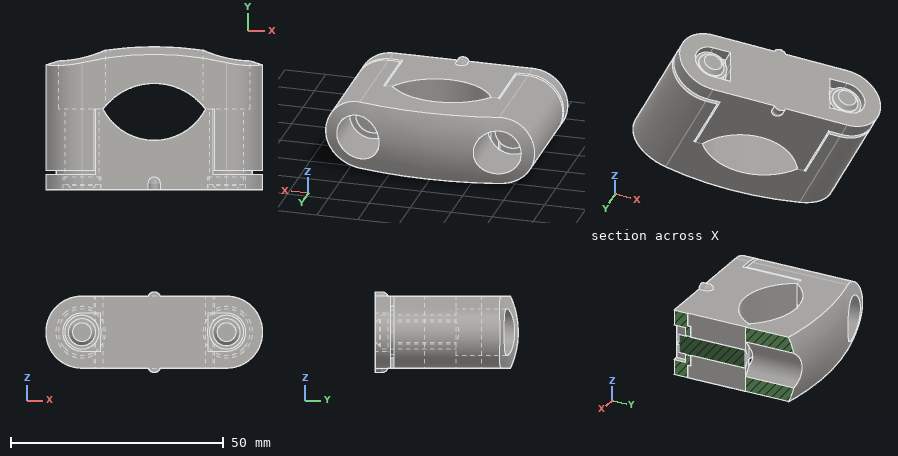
import cadquery as cq
import math


length = 51.0
width = 17.0
height = 33.7
end_radius = width / 2
bolt_offset = length / 2 - end_radius

flange_thickness = 3.65
skirt_bottom = 4.5
parting_level = 19.0

crown_radius_long = 77.0
crown_radius_cross = 20.5

bore_half_width = 12.05
bore_top = 25.0
bore_bottom = 11.65

saddle_half_width = 13.8
skirt_clearance = 0.35

collar_radius = 6.1
access_hole_radius = 5.5

pocket_radius = 4.5
pocket_depth = 3.0
pocket_wall_offset = 4.4

bolt_radius = 4.0
tip_radius = 3.2
tip_length = 1.3
tip_chamfer = 1.0

rib_radius = 1.5
rib_center_z = 8.0
rib_straight = 1.6


def plan(level):
    """Workplane normal to +Y at the given height, with local x = X and local y = -Z."""
    return cq.Workplane("XZ", origin=(0, level, 0)).transformed(rotate=(180, 0, 0))


def stadium(bottom, top):
    """Round-ended prism of the clamp outline."""
    return plan(bottom).slot2D(length, width).extrude(top - bottom)


def side_block(x_min, x_max, bottom, top):
    """Rectangular block through the whole width of the clamp."""
    size = (x_max - x_min, top - bottom, width)
    return cq.Workplane("XY").box(*size).translate(((x_min + x_max) / 2, (bottom + top) / 2, 0))


def make_crown():
    """Doubly curved body: a cross arc at the top, revolved about an axis parallel to Z."""
    axis_level = height - crown_radius_long
    half_span = width / 2 + 1
    edge_level = height - crown_radius_cross + math.sqrt(crown_radius_cross**2 - half_span**2)
    profile = (
        cq.Workplane("YZ")
        .moveTo(axis_level, -half_span)
        .lineTo(edge_level, -half_span)
        .threePointArc((height, 0), (edge_level, half_span))
        .lineTo(axis_level, half_span)
        .close()
    )
    return profile.revolve(360, (axis_level, 0, 0), (axis_level, 1, 0))


def make_cable_bore():
    """Lens-shaped bore running right through along Z."""
    bore = (
        cq.Workplane("XY")
        .moveTo(-bore_half_width, parting_level)
        .threePointArc((0, bore_top), (bore_half_width, parting_level))
        .threePointArc((0, bore_bottom), (-bore_half_width, parting_level))
        .close()
    )
    return bore.extrude(width, both=True)


def make_cap():
    """Upper half with a skirt hanging down on each side of the saddle."""
    recess_half_width = saddle_half_width + skirt_clearance
    recess = side_block(-recess_half_width, recess_half_width, skirt_bottom, parting_level)
    return stadium(skirt_bottom, height).cut(recess).intersect(make_crown())


def make_rib(side):
    """Half-sunk locating rib with a rounded upper end; side is +1 or -1 along Z."""
    rib = plan(0).circle(rib_radius).extrude(rib_straight)
    rounded_end = cq.Workplane("XY").sphere(rib_radius).translate((0, rib_straight, 0))
    return rib.union(rounded_end).translate((0, 0, side * rib_center_z))


def make_base():
    """Mounting flange, saddle and locating ribs."""
    saddle = side_block(-saddle_half_width, saddle_half_width, 0, parting_level)
    base = stadium(0, flange_thickness).union(saddle)
    for side in (-1, 1):
        base = base.union(make_rib(side))
    return base


def make_collar(side):
    """Round collar about the bolt axis, filling the gap between flange and skirt."""
    collar = plan(flange_thickness).circle(collar_radius).extrude(skirt_bottom - flange_thickness)
    return collar.translate((side * bolt_offset, 0, 0))


def make_pocket(side):
    """Blind pocket around the bolt tip: round on the outside, square toward the middle."""
    pocket = plan(0).circle(pocket_radius).extrude(pocket_depth)
    square = plan(0).rect(pocket_wall_offset, 2 * pocket_radius).extrude(pocket_depth)
    pocket = pocket.union(square.translate((-side * pocket_wall_offset / 2, 0, 0)))
    return pocket.translate((side * bolt_offset, 0, 0))


def make_bolt_hole(side):
    """Bolt hole up to the parting level, with a wider access hole above."""
    hole = plan(0).circle(bolt_radius).extrude(parting_level)
    access = plan(parting_level).circle(access_hole_radius).extrude(height - parting_level)
    return hole.union(access).translate((side * bolt_offset, 0, 0))


def make_clamp():
    """Cap and base joined on the parting level; the joint edges stay visible."""
    clamp = make_cap().union(make_base(), clean=False)
    clamp = clamp.cut(make_cable_bore(), clean=False)
    for side in (-1, 1):
        clamp = clamp.union(make_collar(side), clean=False)
        clamp = clamp.cut(make_pocket(side), clean=False)
        clamp = clamp.cut(make_bolt_hole(side), clean=False)
    return clamp


def make_bolt(side):
    """Headless bolt with a reduced, chamfered tip flush with the mounting face."""
    tip = plan(0).circle(tip_radius).extrude(tip_length).faces("<Y").chamfer(tip_chamfer)
    shank = plan(tip_length).circle(bolt_radius).extrude(parting_level - tip_length)
    return tip.union(shank).translate((side * bolt_offset, 0, 0))


clamp = make_clamp()
bolts = [make_bolt(side).val() for side in (-1, 1)]

result = cq.Compound.makeCompound([clamp.val(), *bolts])